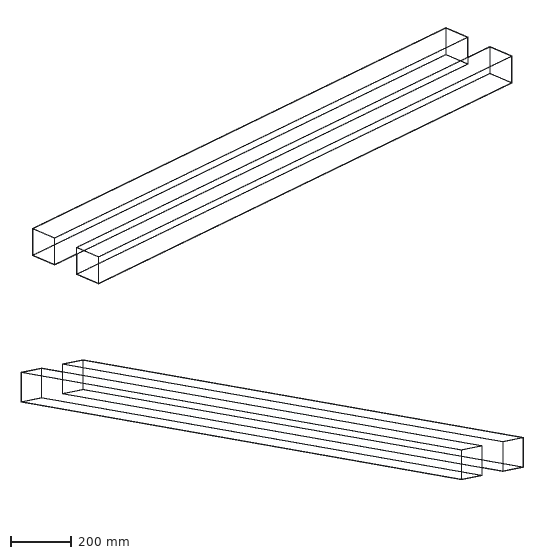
import cadquery as cq

bar_length = 2000.0
bar_side = 100.0
bar_gap = 100.0
bar_count = 2

bar_pitch = bar_side + bar_gap


def make_bar(center_x):
    """One square bar, centred on the given X position."""
    return cq.Workplane("XY").box(bar_side, bar_length, bar_side).translate((center_x, 0, 0))


first_bar_x = -bar_pitch * (bar_count - 1) / 2
bars = [make_bar(first_bar_x + index * bar_pitch) for index in range(bar_count)]

result = cq.Compound.makeCompound([bar.val() for bar in bars])